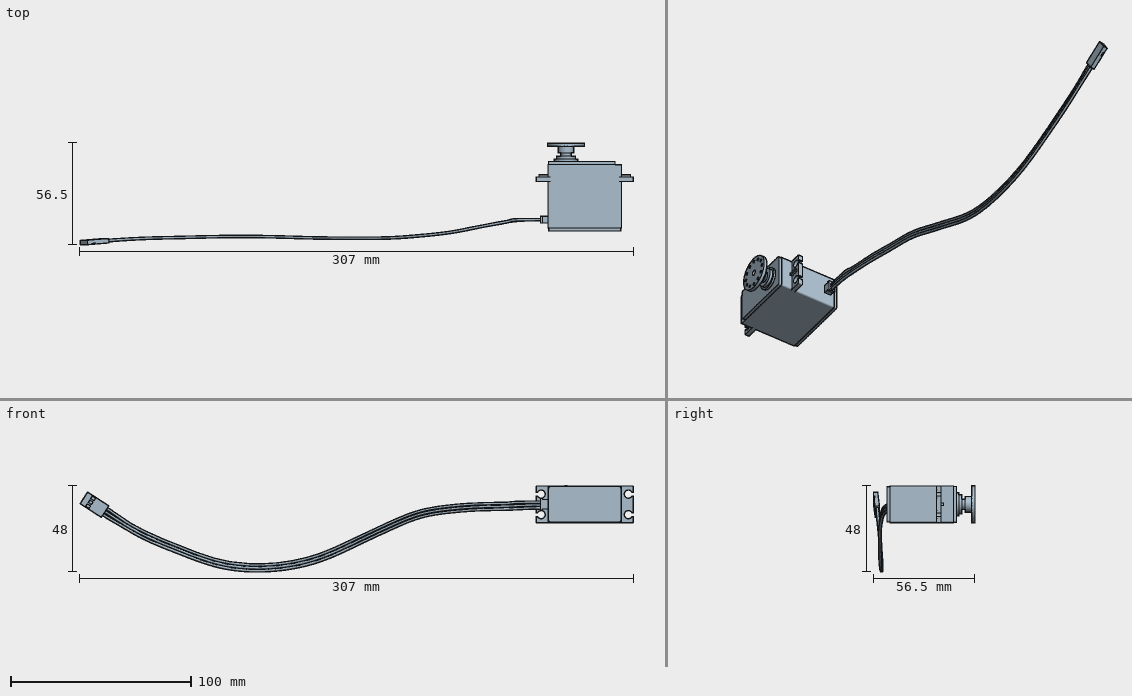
import cadquery as cq
import math


CASE_LENGTH = 40.8
CASE_WIDTH = 20.5
SHAFT_INSET = 10.0
CASE_LEFT = -SHAFT_INSET
CASE_CENTER_X = CASE_LEFT + CASE_LENGTH / 2
CASE_EDGE_RADIUS = 1.0

TOP_COVER_HEIGHT = 1.8
TOP_COVER_LENGTH = 37.0
TOP_COVER_INSET = 0.2
CASE_HEIGHT = 35.1
BOTTOM_COVER_HEIGHT = 1.8
BOTTOM_COVER_INSET = 0.4
CASE_TOP = -TOP_COVER_HEIGHT
CASE_BOTTOM = CASE_TOP - CASE_HEIGHT

EAR_SPAN = 54.0
EAR_TOP = -8.6
EAR_THICKNESS = 2.6
EAR_CORNER_RADIUS = 0.5
EAR_RIB_LENGTH = 5.0
EAR_RIB_WIDTH = 1.5
EAR_RIB_HEIGHT = 1.3
EAR_HOLE_DIAMETER = 4.4
EAR_HOLE_SPACING_X = 48.4
EAR_HOLE_SPACING_Z = 11.4
EAR_SLOT_WIDTH = 2.0

BOSS_DIAMETER = 13.1
BOSS_HEIGHT = 1.2
BOSS_RING_DIAMETER = 10.71
BOSS_RING_TOP = 2.9

SHAFT_DIAMETER = 5.9
SHAFT_LENGTH_IN_HORN = 3.0
SHAFT_DEPTH_IN_CASE = 3.0
HORN_TOP = 10.2
HORN_DISC_DIAMETER = 20.75
HORN_DISC_THICKNESS = 1.9
HORN_HUB_DIAMETER = 8.75
HORN_HUB_BOTTOM = 4.7
HORN_SCREW_HOLE_DIAMETER = 3.0
HORN_HOLE_DIAMETER = 1.5
HORN_HOLE_CIRCLE_DIAMETER = 16.0
HORN_HOLE_COUNT = 12

WIRE_DIAMETER = 1.5
WIRE_PITCH = 1.6
PLUG_WIRE_PITCH = 2.0
WIRE_COUNT = 3
GROMMET_LENGTH = 4.2
GROMMET_HEIGHT = 3.9
GROMMET_WIDTH = 6.5
GROMMET_Y = -32.3
CABLE_EXIT_Z = -0.4
GROMMET_FLANGE_LENGTH = 1.2
GROMMET_NECK_WIDTH = 5.2
PLUG_LENGTH = 14.0
PLUG_WIDTH = 7.7
PLUG_THICKNESS = 2.5
PLUG_ANGLE = 33.0
PLUG_TILT = 4.0
PLUG_BACK = (-255.71, -44.05, -4.0)
PLUG_WINDOW_SIZE = (1.6, 2.2)
PLUG_WINDOW_DEPTH = 0.6
PLUG_WINDOW_DISTANCE = 9.6
PLUG_WINDOW_PITCH = 2.54

CABLE_PATH = [
    (-246.6, -43.4, -9.9),
    (-236.0, -42.8, -16.0),
    (-213.7, -42.2, -25.6),
    (-191.5, -41.7, -33.1),
    (-169.0, -41.7, -35.23),
    (-136.0, -42.5, -29.4),
    (-114.0, -42.6, -19.6),
    (-97.0, -42.4, -11.7),
    (-80.5, -41.2, -5.3),
    (-63.7, -39.3, -2.5),
    (-47.0, -36.1, -1.3),
    (-32.0, -33.3, -1.0),
]


def y_cylinder(diameter, y_from, y_to, x=0.0, z=0.0):
    """Cylinder along Y between two heights."""
    start = cq.Vector(x, y_from, z)
    return cq.Workplane(cq.Solid.makeCylinder(diameter / 2, y_to - y_from, start, cq.Vector(0, 1, 0)))


def y_block(length, width, y_from, y_to, x_center):
    """Box between two heights, centred on Z = 0."""
    center = (x_center, (y_from + y_to) / 2, 0)
    return cq.Workplane("XY").box(length, y_to - y_from, width).translate(center)


def make_ears():
    ear_bottom = EAR_TOP - EAR_THICKNESS
    ears = y_block(EAR_SPAN, CASE_WIDTH, ear_bottom, EAR_TOP, CASE_CENTER_X)
    ears = ears.edges("|Y").fillet(EAR_CORNER_RADIUS)
    for side in (-1, 1):
        hole_x = CASE_CENTER_X + side * EAR_HOLE_SPACING_X / 2
        for end in (-1, 1):
            hole_z = end * EAR_HOLE_SPACING_Z / 2
            slot_length = EAR_SPAN / 2
            slot = y_block(slot_length, EAR_SLOT_WIDTH, ear_bottom, EAR_TOP, hole_x + side * slot_length / 2)
            ears = ears.cut(y_cylinder(EAR_HOLE_DIAMETER, ear_bottom, EAR_TOP, hole_x, hole_z))
            ears = ears.cut(slot.translate((0, 0, hole_z)))
    rib_span = CASE_LENGTH + 2 * EAR_RIB_LENGTH
    return ears.union(y_block(rib_span, EAR_RIB_WIDTH, EAR_TOP, EAR_TOP + EAR_RIB_HEIGHT, CASE_CENTER_X))


def make_case():
    case = y_block(CASE_LENGTH, CASE_WIDTH, CASE_BOTTOM, CASE_TOP, CASE_CENTER_X)
    case = case.edges("|Y").fillet(CASE_EDGE_RADIUS)
    top_cover_width = CASE_WIDTH - 2 * TOP_COVER_INSET
    top_cover_x = CASE_LEFT + TOP_COVER_INSET + TOP_COVER_LENGTH / 2
    top_cover = y_block(TOP_COVER_LENGTH, top_cover_width, CASE_TOP, 0, top_cover_x)
    top_cover = top_cover.edges("|Y").fillet(CASE_EDGE_RADIUS)
    bottom_cover = y_block(
        CASE_LENGTH - 2 * BOTTOM_COVER_INSET,
        CASE_WIDTH - 2 * BOTTOM_COVER_INSET,
        CASE_BOTTOM - BOTTOM_COVER_HEIGHT,
        CASE_BOTTOM,
        CASE_CENTER_X,
    )
    bottom_cover = bottom_cover.edges("|Y").fillet(CASE_EDGE_RADIUS)
    boss = y_cylinder(BOSS_DIAMETER, 0, BOSS_HEIGHT)
    boss_ring = y_cylinder(BOSS_RING_DIAMETER, BOSS_HEIGHT, BOSS_RING_TOP)
    case = case.union(top_cover).union(bottom_cover).union(make_ears()).union(boss).union(boss_ring)
    return case.cut(y_cylinder(SHAFT_DIAMETER, -SHAFT_DEPTH_IN_CASE, BOSS_RING_TOP))


def make_shaft():
    return y_cylinder(SHAFT_DIAMETER, -SHAFT_DEPTH_IN_CASE, HORN_HUB_BOTTOM + SHAFT_LENGTH_IN_HORN)


def make_horn():
    disc_bottom = HORN_TOP - HORN_DISC_THICKNESS
    horn = y_cylinder(HORN_DISC_DIAMETER, disc_bottom, HORN_TOP)
    horn = horn.union(y_cylinder(HORN_HUB_DIAMETER, HORN_HUB_BOTTOM, disc_bottom))
    horn = horn.cut(y_cylinder(SHAFT_DIAMETER, HORN_HUB_BOTTOM, HORN_HUB_BOTTOM + SHAFT_LENGTH_IN_HORN))
    horn = horn.cut(y_cylinder(HORN_SCREW_HOLE_DIAMETER, HORN_HUB_BOTTOM, HORN_TOP))
    for index in range(HORN_HOLE_COUNT):
        angle = 2 * math.pi * index / HORN_HOLE_COUNT
        hole_x = HORN_HOLE_CIRCLE_DIAMETER / 2 * math.cos(angle)
        hole_z = HORN_HOLE_CIRCLE_DIAMETER / 2 * math.sin(angle)
        horn = horn.cut(y_cylinder(HORN_HOLE_DIAMETER, disc_bottom, HORN_TOP, hole_x, hole_z))
    return horn


def make_grommet():
    left = CASE_LEFT - GROMMET_LENGTH
    y_from = GROMMET_Y - GROMMET_HEIGHT / 2
    y_to = GROMMET_Y + GROMMET_HEIGHT / 2
    neck = y_block(GROMMET_LENGTH, GROMMET_NECK_WIDTH, y_from, y_to, left + GROMMET_LENGTH / 2)
    flange = y_block(GROMMET_FLANGE_LENGTH, GROMMET_WIDTH, y_from, y_to, left + GROMMET_FLANGE_LENGTH / 2)
    return neck.union(flange)


def plug_axis():
    """Unit direction from the wire end of the plug to its open end."""
    rise = math.radians(PLUG_ANGLE)
    tilt = math.radians(PLUG_TILT)
    return cq.Vector(-math.cos(rise) * math.cos(tilt), -math.sin(tilt), math.sin(rise) * math.cos(tilt))


def plug_side():
    """Unit direction across the plug, along which its wires are spread."""
    rise = math.radians(PLUG_ANGLE)
    return cq.Vector(math.sin(rise), 0, math.cos(rise))


def make_plug():
    """Block with one small terminal window per wire in its -Y face."""
    plane = cq.Plane(origin=PLUG_BACK, xDir=plug_side(), normal=plug_axis())
    plug = cq.Workplane(plane).rect(PLUG_WIDTH, PLUG_THICKNESS).extrude(PLUG_LENGTH)
    face_normal = plug_side().cross(plug_axis())
    window_middle = plane.origin + plug_axis() * PLUG_WINDOW_DISTANCE + face_normal * (PLUG_THICKNESS / 2)
    window_plane = cq.Plane(origin=window_middle, xDir=plug_side(), normal=face_normal)
    windows = (
        cq.Workplane(window_plane)
        .rarray(PLUG_WINDOW_PITCH, 1, WIRE_COUNT, 1)
        .rect(*PLUG_WINDOW_SIZE)
        .extrude(-PLUG_WINDOW_DEPTH)
    )
    return plug.cut(windows)


def make_wire(index):
    """One wire of the ribbon: the wires lie side by side across the cable, in the XZ plane."""
    rank = index - (WIRE_COUNT - 1) / 2
    back = cq.Vector(*PLUG_BACK)
    grommet_face = cq.Vector(CASE_LEFT - GROMMET_LENGTH, GROMMET_Y, CABLE_EXIT_Z)
    middle = [back] + [cq.Vector(*point) for point in CABLE_PATH] + [grommet_face]
    points = [back + plug_side() * (rank * PLUG_WIRE_PITCH)]
    for before, here, after in zip(middle, middle[1:], middle[2:]):
        along = after - before
        across = cq.Vector(-along.z, 0, along.x).normalized()
        points.append(here + across * (rank * WIRE_PITCH))
    points.append(grommet_face + cq.Vector(0, 0, rank * WIRE_PITCH))
    path = cq.Edge.makeSpline(points, tangents=[-plug_axis(), cq.Vector(1, 0, 0)])
    start = cq.Plane(origin=points[0], xDir=plug_side(), normal=-plug_axis())
    return cq.Workplane(start).circle(WIRE_DIAMETER / 2).sweep(cq.Workplane(path))


case = make_case()
shaft = make_shaft()
horn = make_horn()
grommet = make_grommet()
plug = make_plug()
wires = [make_wire(index) for index in range(WIRE_COUNT)]

result = cq.Compound.makeCompound(
    [case.val(), shaft.val(), horn.val(), grommet.val(), plug.val(), *[wire.val() for wire in wires]]
)